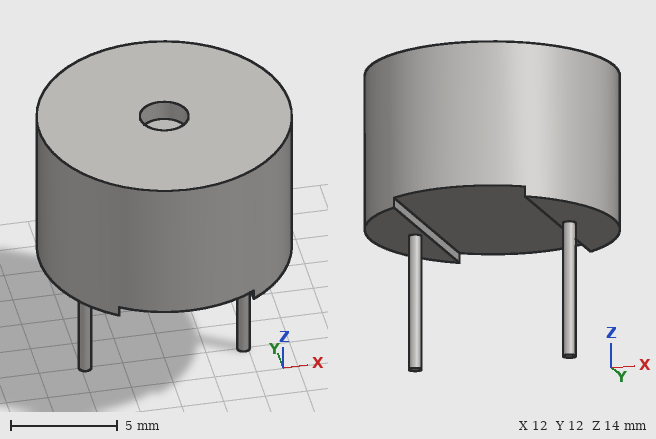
import cadquery as cq

total_height = 14.0
body_diameter = 12.0
body_height = 7.5

hole_diameter = 2.3
hole_depth = 1.0

channel_width = 6.45
channel_depth = 0.48

pin_diameter = 0.6
pin_spacing = 7.6
pin_length = total_height - body_height


def make_body():
    """Upright cylinder with its underside at Z = 0."""
    return cq.Workplane("XY").circle(body_diameter / 2).extrude(body_height)


def make_sound_hole():
    """Cutter for the blind hole in the top face."""
    top_plane = cq.Workplane("XY").workplane(offset=body_height)
    return top_plane.circle(hole_diameter / 2).extrude(-hole_depth)


def make_channel():
    """Cutter for the shallow channel that runs right across the underside."""
    return cq.Workplane("XY").rect(channel_width, body_diameter).extrude(channel_depth)


def make_pins():
    """Round pins hanging down from the underside."""
    pin_centres = [(-pin_spacing / 2, 0), (pin_spacing / 2, 0)]
    return cq.Workplane("XY").pushPoints(pin_centres).circle(pin_diameter / 2).extrude(-pin_length)


body = make_body().cut(make_sound_hole()).cut(make_channel())
result = body.union(make_pins())